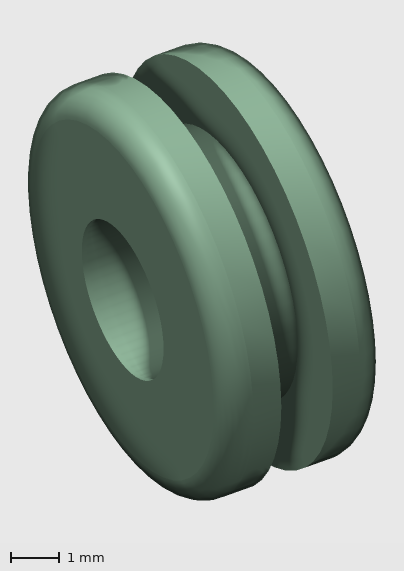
import cadquery as cq

flange_diameter = 9.0
neck_diameter = 6.0
bore_diameter = 3.5
flange_thickness = 1.25
groove_width = 1.2
rim_fillet = 0.6

total_length = groove_width + 2 * flange_thickness


def cylinder_along_y(diameter, length, start_y):
    """Solid cylinder on the Y axis, running toward +Y from start_y."""
    base = cq.Workplane("XZ", origin=(0, start_y, 0))
    return base.circle(diameter / 2).extrude(-length)


def flange(start_y, outer_face):
    """Flange disc with its outer rim rounded."""
    disc = cylinder_along_y(flange_diameter, flange_thickness, start_y)
    return disc.faces(outer_face).edges().fillet(rim_fillet)


front_flange = flange(-total_length / 2, "<Y")
back_flange = flange(groove_width / 2, ">Y")
neck = cylinder_along_y(neck_diameter, groove_width, -groove_width / 2)
bore = cylinder_along_y(bore_diameter, total_length, -total_length / 2)

result = neck.union(front_flange).union(back_flange).cut(bore)